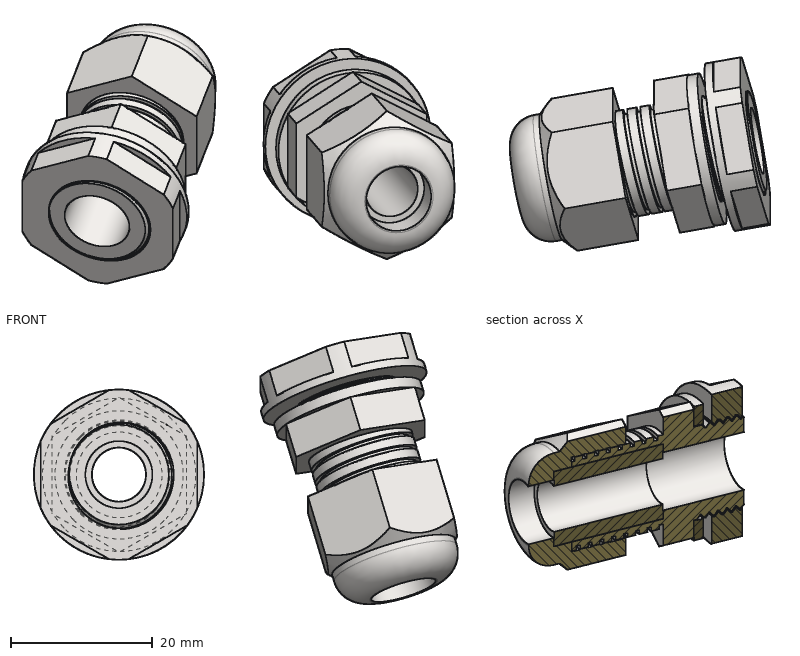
import cadquery as cq
import math

LOCKNUT_BOTTOM = 0.28
FLANGE_BOTTOM = 4.07
FLANGE_TOP = 5.25
WASHER_BOTTOM = 6.5
HEX_BOTTOM = 8.0
HEX_TOP = 12.97
DOME_NUT_BOTTOM = 18.9
COLLAR_BOTTOM = 29.53
DOME_START = 30.43
TOTAL_HEIGHT = 34.5

WRENCH_FLATS = 18.9
LOCKNUT_FLATS = 22.0
FLANGE_RADIUS = 12.0
WASHER_RADIUS = 10.8
COLLAR_RADIUS = 9.05

THREAD_RADIUS = 7.6
ROOT_RADIUS = 6.95
THREAD_DEPTH = THREAD_RADIUS - ROOT_RADIUS
CUT_MARGIN = 0.07

ENTRY_SEAM_ANGLE = 45
ENTRY_CHAMFER = 0.55
LOCKNUT_CLEARANCE = 0.15

ENTRY_PITCH = 1.4
ENTRY_GROOVE_WIDTH = 1.17
ENTRY_GROOVE_ROOT_WIDTH = 0.05
ENTRY_GROOVE_START = -1.93
ENTRY_GROOVE_TURNS = 6.5

DOME_PITCH = 1.9
DOME_GROOVE_WIDTH = 0.6
DOME_GROOVE_ROOT_WIDTH = 0.52
DOME_GROOVE_START = 10.85
DOME_GROOVE_TURNS = 9.5
DOME_THREAD_TOP = 27.6

PASSAGE_RADIUS = 4.73
SEAL_BORE_RADIUS = 3.8
SEAL_RADIUS = 6.05
SEAL_BOTTOM = HEX_TOP
SEAL_TOP = DOME_START


def cylinder(radius, bottom, top):
    """Round bar on the Y axis."""
    return cq.Workplane("XZ", origin=(0, bottom, 0)).circle(radius).extrude(bottom - top)


def hexagon(flats, bottom, top):
    """Hexagonal bar on the Y axis, given by its width across flats."""
    corner_diameter = flats / math.cos(math.pi / 6)
    bar = cq.Workplane("XZ", origin=(0, bottom, 0)).polygon(6, corner_diameter).extrude(bottom - top)
    return bar.rotate((0, 0, 0), (0, 1, 0), 30)


def helical_groove(root_radius, pitch, start, turns, opening_width, root_width):
    """Right-hand groove cutter around Y whose root is at height `start` on the +X side."""
    flare = (opening_width - root_width) / 2 / THREAD_DEPTH
    half_root = root_width / 2
    half_mouth = opening_width / 2 + flare * CUT_MARGIN
    mouth_radius = root_radius + THREAD_DEPTH + CUT_MARGIN
    outline = [
        (root_radius, -half_root),
        (root_radius, half_root),
        (mouth_radius, half_mouth),
        (mouth_radius, -half_mouth),
    ]
    path = cq.Workplane(cq.Wire.makeHelix(pitch, pitch * turns, root_radius))
    groove = cq.Workplane("XZ").polyline(outline).close().sweep(path, isFrenet=True)
    return groove.rotate((0, 0, 0), (1, 0, 0), -90).translate((0, start, 0))


def entry_rod(radius):
    """Plain rod for the entry thread, its seam turned away from the seam of the groove."""
    return cylinder(radius, 0, HEX_BOTTOM).rotate((0, 0, 0), (0, 1, 0), -ENTRY_SEAM_ANGLE)


def entry_groove(clearance):
    """V groove cutter, moved out radially by `clearance`."""
    return helical_groove(
        ROOT_RADIUS + clearance,
        ENTRY_PITCH,
        ENTRY_GROOVE_START,
        ENTRY_GROOVE_TURNS,
        ENTRY_GROOVE_WIDTH,
        ENTRY_GROOVE_ROOT_WIDTH,
    )


def dome_groove():
    return helical_groove(
        ROOT_RADIUS,
        DOME_PITCH,
        DOME_GROOVE_START,
        DOME_GROOVE_TURNS,
        DOME_GROOVE_WIDTH,
        DOME_GROOVE_ROOT_WIDTH,
    )


def make_gland_body():
    """Hexagon with a hollow threaded spigot on each side."""
    entry_spigot = (
        entry_rod(THREAD_RADIUS)
        .faces("<Y").chamfer(ENTRY_CHAMFER)
        .cut(cylinder(PASSAGE_RADIUS, 0, HEX_BOTTOM))
        .cut(entry_groove(clearance=0))
    )
    dome_spigot = (
        cylinder(THREAD_RADIUS, HEX_TOP, DOME_THREAD_TOP)
        .cut(cylinder(SEAL_RADIUS, HEX_TOP, DOME_THREAD_TOP))
        .cut(dome_groove())
    )
    grip = hexagon(WRENCH_FLATS, HEX_BOTTOM, HEX_TOP).cut(
        cylinder(PASSAGE_RADIUS, HEX_BOTTOM, HEX_TOP)
    )
    return grip.union(entry_spigot).union(dome_spigot)


def make_locknut():
    """Flanged hexagon nut whose inner thread follows the entry thread with a small gap."""
    tapped_hole = entry_rod(THREAD_RADIUS + LOCKNUT_CLEARANCE).cut(entry_groove(LOCKNUT_CLEARANCE))
    flange = cylinder(FLANGE_RADIUS, FLANGE_BOTTOM, FLANGE_TOP)
    grip = hexagon(LOCKNUT_FLATS, LOCKNUT_BOTTOM, FLANGE_BOTTOM).intersect(
        cylinder(FLANGE_RADIUS, LOCKNUT_BOTTOM, FLANGE_BOTTOM)
    )
    return flange.union(grip).cut(tapped_hole)


def make_washer():
    """Flat ring seated against the lower face of the gland hexagon."""
    ring = cylinder(WASHER_RADIUS, WASHER_BOTTOM, HEX_BOTTOM)
    return ring.cut(cylinder(THREAD_RADIUS, WASHER_BOTTOM, HEX_BOTTOM))


def make_dome_nut():
    """Hexagon nut with a chamfered shoulder and a rounded dome, bored for the body and the seal."""
    corner_radius = WRENCH_FLATS / math.sqrt(3)
    chamfer = corner_radius - COLLAR_RADIUS
    turned = (
        cq.Workplane("ZY")
        .moveTo(0, DOME_NUT_BOTTOM)
        .lineTo(corner_radius, DOME_NUT_BOTTOM)
        .lineTo(corner_radius, COLLAR_BOTTOM - chamfer)
        .lineTo(COLLAR_RADIUS, COLLAR_BOTTOM)
        .lineTo(0, COLLAR_BOTTOM)
        .close()
        .revolve(360, (0, 0, 0), (0, 1, 0))
    )
    wrench_part = hexagon(WRENCH_FLATS, DOME_NUT_BOTTOM, COLLAR_BOTTOM).intersect(turned)
    dome = (
        cylinder(COLLAR_RADIUS, COLLAR_BOTTOM, TOTAL_HEIGHT)
        .faces(">Y").edges().fillet(TOTAL_HEIGHT - DOME_START)
    )
    thread_bore = cylinder(THREAD_RADIUS, DOME_NUT_BOTTOM, DOME_THREAD_TOP)
    seal_bore = cylinder(SEAL_RADIUS, DOME_THREAD_TOP, SEAL_TOP)
    mouth = cylinder(PASSAGE_RADIUS, SEAL_TOP, TOTAL_HEIGHT)
    return wrench_part.union(dome).cut(thread_bore).cut(seal_bore).cut(mouth)


def make_seal():
    """Plain sleeve held between the gland body and the dome nut."""
    return cylinder(SEAL_RADIUS, SEAL_BOTTOM, SEAL_TOP).cut(
        cylinder(SEAL_BORE_RADIUS, SEAL_BOTTOM, SEAL_TOP)
    )


gland_body = make_gland_body()
locknut = make_locknut()
washer = make_washer()
dome_nut = make_dome_nut()
seal = make_seal()

result = cq.Compound.makeCompound(
    [gland_body.val(), locknut.val(), washer.val(), dome_nut.val(), seal.val()]
)